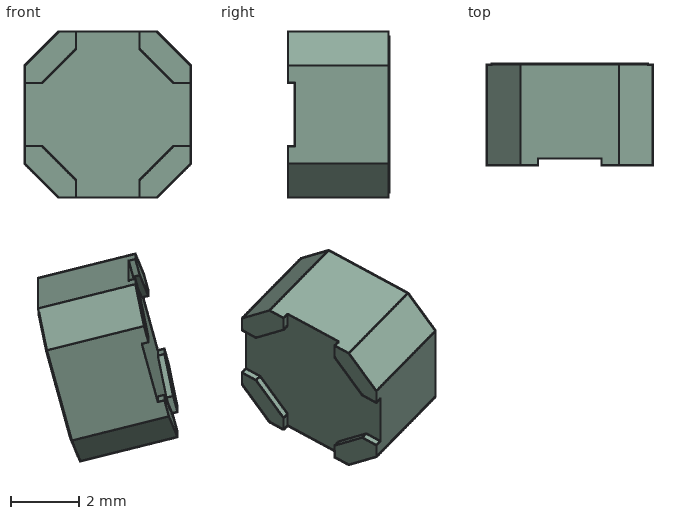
import cadquery as cq
import math

side = 4.88
corner_bevel = 1.0
total_depth = 2.98

pad_margin = 0.15
pad_height = 0.03

foot_height = 0.2
foot_edge = 0.51

foot_reach = corner_bevel + foot_edge
half_side = side / 2
pad_side = side - 2 * pad_margin
pad_bevel = corner_bevel - pad_margin * (2 - math.sqrt(2))
body_depth = total_depth - foot_height - pad_height

feet_front = -total_depth / 2
body_front = feet_front + foot_height
body_back = body_front + body_depth


def plane_at(y):
    """XZ sketch plane at the given Y, with its normal toward +Y and local x along -X."""
    return cq.Plane(origin=(0, y, 0), xDir=(-1, 0, 0), normal=(0, 1, 0))


def bevelled_square(start_y, width, depth, bevel):
    """Square block of the given depth along +Y, with its four Y edges bevelled."""
    block = cq.Workplane(plane_at(start_y)).rect(width, width).extrude(depth)
    return block.edges("|Y").chamfer(bevel)


def make_foot(sign_x, sign_z):
    """Six-sided foot in one corner, with its inner edge parallel to the bevel."""
    outer = half_side
    bevel_end = half_side - corner_bevel
    foot_end = half_side - foot_reach
    inner = half_side - foot_edge
    corner_outline = [
        (bevel_end, outer),
        (outer, bevel_end),
        (outer, foot_end),
        (inner, foot_end),
        (foot_end, inner),
        (foot_end, outer),
    ]
    outline = [(sign_x * x, sign_z * z) for x, z in corner_outline]
    return cq.Workplane(plane_at(feet_front)).polyline(outline).close().extrude(foot_height)


body = bevelled_square(body_front, side, body_depth, corner_bevel)
pad = bevelled_square(body_back, pad_side, pad_height, pad_bevel)

result = body.union(pad)
for sign_x in (-1, 1):
    for sign_z in (-1, 1):
        result = result.union(make_foot(sign_x, sign_z))